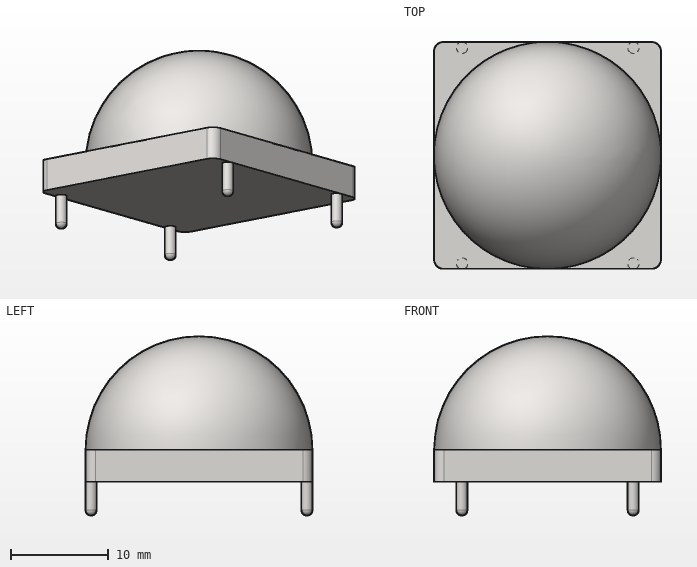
import cadquery as cq

base_side = 23.2
base_height = 3.27
corner_radius = 1.0

lens_radius = base_side / 2

pin_diameter = 1.15
pin_radius = pin_diameter / 2
pin_length = 3.45
pin_spacing_x = 17.5
pin_spacing_y = base_side - pin_diameter


def make_base():
    """Base plate standing on Z = 0."""
    plate = cq.Workplane("XY").rect(base_side, base_side).extrude(base_height)
    return plate.edges("|Z").fillet(corner_radius)


def make_lens():
    """Hemisphere resting on the top of the base."""
    quarter_disc = (
        cq.Workplane("XZ")
        .moveTo(0, base_height)
        .lineTo(lens_radius, base_height)
        .radiusArc((0, base_height + lens_radius), -lens_radius)
        .close()
    )
    return quarter_disc.revolve(360, (0, 0, 0), (0, 1, 0))


def make_pins():
    """Four pins with hemispherical tips below the base."""
    shank_length = pin_length - pin_radius
    pin_grid = cq.Workplane("XY").rarray(pin_spacing_x, pin_spacing_y, 2, 2)
    shanks = pin_grid.circle(pin_radius).extrude(-shank_length)
    tips = (
        cq.Workplane("XY", origin=(0, 0, -shank_length))
        .rarray(pin_spacing_x, pin_spacing_y, 2, 2)
        .sphere(pin_radius)
    )
    return shanks.union(tips)


result = make_base().union(make_lens()).union(make_pins())